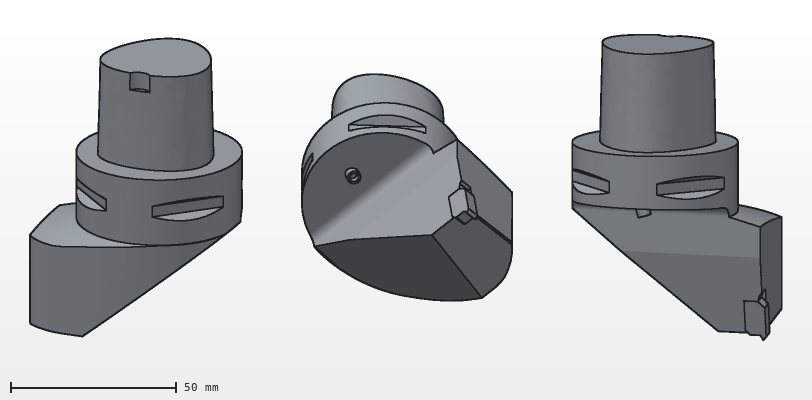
import cadquery as cq
import math


TOTAL_HEIGHT = 89.0
REACH = 89.0

SHANK_HEIGHT = 30.0
SHANK_RADIUS = 17.4
LOBE_HEIGHT = 1.2
SHANK_TAPER = 1 / 40
OUTLINE_POINTS = 48
NOTCH_RADIUS = 4.0
NOTCH_CENTRE_Y = -17.8
NOTCH_DEPTH = 5.3

FLANGE_RADIUS = 25.0
FLANGE_HEIGHT = 20.9
GRIP_COUNT = 4
GRIP_Z = -10.15
GRIP_FLOOR_DISTANCE = 22.2
GRIP_FLOOR_WIDTH = 3.4
GRIP_FLANK_ANGLE = 30.0
UNDERSIDE_RIM_Z = -16.2
UNDERSIDE_ANGLE = 5.0
UNDERSIDE_FILLET = 3.1

FACE_Y = 4.9
FACE_BEND_Z = -32.9
FACE_LEAN = 10.0
BLADE_BACK_X = -34.35
BLADE_CORNER = (-34.1, -19.7)
BLADE_MIN_Y = -28.65
NOSE_MIDDLE = (-29.3, -24.4)
NOSE_END = (-23.3, -27.85)
FLAT_LEFT_X = -18.1
FLAT_RIGHT_X = -11.9
FLANK_MIDDLE = (-2.05, -27.6)
FLANK_END = (7.9, -24.2)
RIM_START = (10.8, -22.8)
RIM_MIDDLE_ANGLE = -40.0
RIM_END_ANGLE = -14.0
RIM_BULGE = 0.3
SHOULDER_ANGLE = 15.0
DIAGONAL_TOP = (24.8, -20.5)
DIAGONAL_BOTTOM = (-19.6, -56.5)
END_Z = -51.4
END_ANGLE = 10.5
END_CHAMFER = 0.45

NOZZLE_DIAMETER = 4.0
NOZZLE_BORE = 2.7
NOZZLE_BORE_DEPTH = 2.7
NOZZLE_LENGTH = 5.3
NOZZLE_TILT = 17.0
NOZZLE_END_X = -0.9
NOZZLE_Y = 14.4
NOZZLE_LOW_Z = -20.65

INSERT_THICKNESS = 4.0
INSERT_LEFT_X = -35.0
INSERT_RIGHT_X = -28.6
INSERT_TOP = (-32.9, -46.8)
INSERT_LEFT_TOP_Z = -48.7
INSERT_LEFT_LOW_Z = -57.8
INSERT_TIP = (-34.0, SHANK_HEIGHT - TOTAL_HEIGHT)
INSERT_LOW_Z = -57.5
INSERT_LOW_LEFT_X = -33.2
INSERT_LOW_RIGHT_X = -30.0
INSERT_RIGHT_LOW_Z = -56.1
CLEARANCE_TOP_Z = -44.1
CLEARANCE_KNEE = (-33.5, -45.0)


def tan(degrees):
    return math.tan(math.radians(degrees))


def polar(radius, degrees):
    return (radius * math.cos(math.radians(degrees)), radius * math.sin(math.radians(degrees)))


def prism_along_x(yz_points):
    return cq.Workplane("YZ").polyline(yz_points).close().extrude(REACH, both=True)


def prism_along_y(xz_points):
    return cq.Workplane("XZ").polyline(xz_points).close().extrude(REACH, both=True)


def shank_outline(z):
    """Closed three-lobed curve at height z, with one lobe toward +Y."""
    radius = SHANK_RADIUS - SHANK_TAPER * z
    points = []
    for i in range(OUTLINE_POINTS):
        t = 2 * math.pi * i / OUTLINE_POINTS
        x = radius * math.cos(t) - LOBE_HEIGHT * math.sin(2 * t)
        y = radius * math.sin(t) - LOBE_HEIGHT * math.cos(2 * t)
        points.append(cq.Vector(x, y, z))
    return cq.Wire.assembleEdges([cq.Edge.makeSpline(points, periodic=True)])


def make_shank():
    outlines = [shank_outline(0), shank_outline(SHANK_HEIGHT)]
    shank = cq.Workplane(cq.Solid.makeLoft(outlines, True))
    notch = (
        cq.Workplane("XY", origin=(0, NOTCH_CENTRE_Y, SHANK_HEIGHT - NOTCH_DEPTH))
        .circle(NOTCH_RADIUS)
        .extrude(NOTCH_DEPTH)
    )
    return shank.cut(notch)


def make_flange():
    """Disc with straight gripper grooves halfway between the axes."""
    flange = cq.Workplane("XY").circle(FLANGE_RADIUS).extrude(-FLANGE_HEIGHT)
    half_floor = GRIP_FLOOR_WIDTH / 2
    half_mouth = half_floor + (FLANGE_RADIUS - GRIP_FLOOR_DISTANCE) * tan(GRIP_FLANK_ANGLE)
    groove = prism_along_y([
        (GRIP_FLOOR_DISTANCE, GRIP_Z - half_floor),
        (FLANGE_RADIUS, GRIP_Z - half_mouth),
        (FLANGE_RADIUS, GRIP_Z + half_mouth),
        (GRIP_FLOOR_DISTANCE, GRIP_Z + half_floor),
    ])
    for i in range(GRIP_COUNT):
        angle = (i + 0.5) * 360 / GRIP_COUNT
        flange = flange.cut(groove.rotate((0, 0, 0), (0, 0, 1), angle))
    return flange


def make_blade_column():
    """Upright column with the blade's plan outline."""
    rim_end = polar(FLANGE_RADIUS, RIM_END_ANGLE)
    return (
        cq.Workplane("XY")
        .moveTo(rim_end[0], FACE_Y)
        .lineTo(*rim_end)
        .threePointArc(polar(FLANGE_RADIUS + RIM_BULGE, RIM_MIDDLE_ANGLE), RIM_START)
        .lineTo(*FLANK_END)
        .threePointArc(FLANK_MIDDLE, (FLAT_RIGHT_X, BLADE_MIN_Y))
        .lineTo(FLAT_LEFT_X, BLADE_MIN_Y)
        .tangentArcPoint(NOSE_END, relative=False)
        .threePointArc(NOSE_MIDDLE, BLADE_CORNER)
        .lineTo(BLADE_BACK_X, FACE_Y)
        .close()
        .extrude(-REACH)
    )


def make_shoulder_limit():
    """All the space below the flange and below the cone that continues its lower rim."""
    cone_drop = (REACH - FLANGE_RADIUS) * tan(SHOULDER_ANGLE)
    return (
        cq.Workplane("XZ")
        .polyline([
            (0, -FLANGE_HEIGHT),
            (FLANGE_RADIUS, -FLANGE_HEIGHT),
            (REACH, -FLANGE_HEIGHT - cone_drop),
            (REACH, -REACH),
            (0, -REACH),
        ])
        .close()
        .revolve(360, (0, 0, 0), (0, 1, 0))
    )


def make_end_cut():
    """Space below the blade's end face, which drops toward +Y."""
    drop = REACH * tan(END_ANGLE)
    return prism_along_x([
        (BLADE_MIN_Y - REACH, END_Z + drop),
        (BLADE_MIN_Y + REACH, END_Z - drop),
        (BLADE_MIN_Y + REACH, -2 * REACH),
        (BLADE_MIN_Y - REACH, -2 * REACH),
    ])


def make_blade():
    blade = make_blade_column().intersect(make_shoulder_limit()).cut(make_end_cut())
    edge_y = (FACE_Y + BLADE_CORNER[1]) / 2
    edge_z = END_Z - (edge_y - BLADE_MIN_Y) * tan(END_ANGLE)
    end_edge = cq.NearestToPointSelector((BLADE_BACK_X, edge_y, edge_z))
    return blade.edges(end_edge).chamfer(END_CHAMFER)


def make_diagonal_cut():
    """Space below the long slope from the flange rim to the blade's end."""
    (top_x, top_z), (low_x, low_z) = DIAGONAL_TOP, DIAGONAL_BOTTOM
    rise = REACH * (top_z - low_z) / (top_x - low_x)
    return prism_along_y([
        (low_x - REACH, low_z - rise),
        (top_x + REACH, top_z + rise),
        (top_x + REACH, low_z - rise),
    ])


def make_face_cut():
    """Space in front of the blade's +Y face and below the flange's sloping underside."""
    corner_z = UNDERSIDE_RIM_Z - (FLANGE_RADIUS - FACE_Y) * tan(UNDERSIDE_ANGLE)
    space = prism_along_x([
        (FACE_Y + REACH, corner_z + REACH * tan(UNDERSIDE_ANGLE)),
        (FACE_Y, corner_z),
        (FACE_Y, FACE_BEND_Z),
        (FACE_Y - REACH * tan(FACE_LEAN), FACE_BEND_Z - REACH),
        (FACE_Y + REACH, FACE_BEND_Z - REACH),
    ])
    inner_corner = cq.NearestToPointSelector((0, FACE_Y, corner_z))
    return space.edges(inner_corner).fillet(UNDERSIDE_FILLET)


def make_nozzle():
    """Tilted tube standing out of the flange's underside."""
    tilt = math.radians(NOZZLE_TILT)
    end_z = NOZZLE_LOW_Z + NOZZLE_DIAMETER / 2 * math.sin(tilt)
    end_plane = cq.Plane(
        origin=(NOZZLE_END_X, NOZZLE_Y, end_z),
        xDir=(0, 1, 0),
        normal=(math.sin(tilt), 0, math.cos(tilt)),
    )
    tube = cq.Workplane(end_plane).circle(NOZZLE_DIAMETER / 2).extrude(NOZZLE_LENGTH)
    bore = cq.Workplane(end_plane).circle(NOZZLE_BORE / 2).extrude(NOZZLE_BORE_DEPTH)
    return tube.cut(bore)


def leaning_plate(xz_points):
    """Plate as thick as the insert, flush with the leaning +Y face of the blade."""
    lean = math.radians(FACE_LEAN)
    plane = cq.Plane(
        origin=(0, FACE_Y, FACE_BEND_Z),
        xDir=(1, 0, 0),
        normal=(0, -math.cos(lean), math.sin(lean)),
    )
    outline = [(x, (z - FACE_BEND_Z) / math.cos(lean)) for x, z in xz_points]
    return cq.Workplane(plane).polyline(outline).close().extrude(INSERT_THICKNESS)


def make_clearance():
    """Notch in the blade between the insert's top and the blade's -X side."""
    return leaning_plate([
        (INSERT_LEFT_X, CLEARANCE_TOP_Z),
        (BLADE_BACK_X, CLEARANCE_TOP_Z),
        CLEARANCE_KNEE,
        INSERT_TOP,
        (INSERT_LEFT_X, INSERT_LEFT_TOP_Z),
    ])


def make_insert():
    """Cutting plate with a pointed tip at its lower -X corner."""
    return leaning_plate([
        (INSERT_RIGHT_X, INSERT_TOP[1]),
        INSERT_TOP,
        (INSERT_LEFT_X, INSERT_LEFT_TOP_Z),
        (INSERT_LEFT_X, INSERT_LEFT_LOW_Z),
        INSERT_TIP,
        (INSERT_LOW_LEFT_X, INSERT_LOW_Z),
        (INSERT_LOW_RIGHT_X, INSERT_LOW_Z),
        (INSERT_RIGHT_X, INSERT_RIGHT_LOW_Z),
    ])


def make_holder(insert):
    """Shank, flange, blade and nozzle in one piece, with a pocket that fits the insert."""
    return (
        make_shank()
        .union(make_flange())
        .union(make_blade())
        .cut(make_diagonal_cut())
        .cut(make_face_cut())
        .union(make_nozzle())
        .cut(make_clearance())
        .cut(insert)
    )


cutting_insert = make_insert()
holder = make_holder(cutting_insert)

result = cq.Compound.makeCompound([holder.solids().val(), cutting_insert.val()])